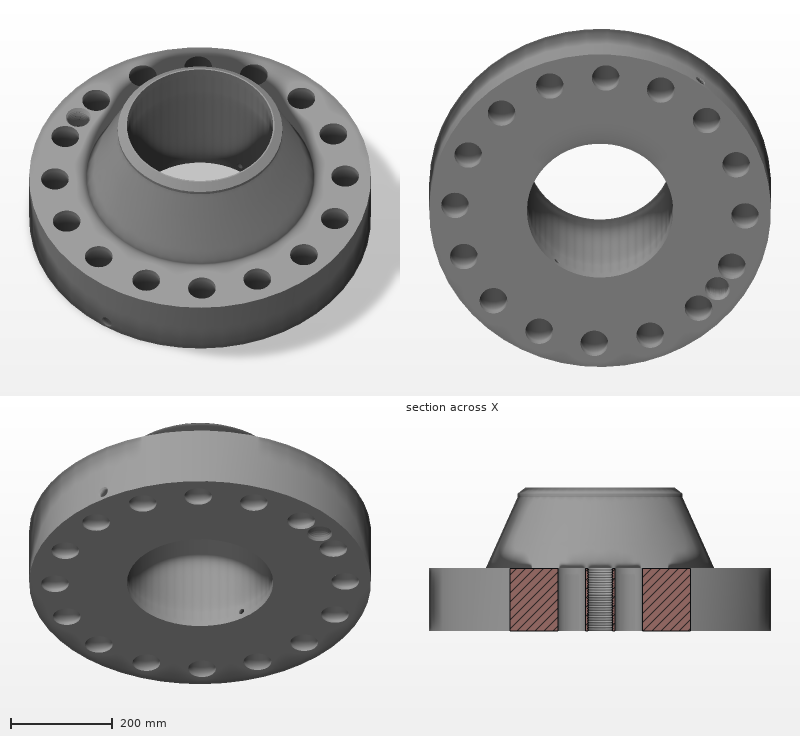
import cadquery as cq

flange_diameter = 673.0
flange_height = 124.0
bore_diameter = 288.0

overall_height = 283.0
neck_base_diameter = 449.5
neck_base_fillet = 3.0
weld_end_diameter = 324.5
weld_land_diameter = 293.5
weld_bevel_height = 12.0
weld_cylinder_height = 7.0

bolt_count = 16
bolt_circle_diameter = 571.5
bolt_hole_diameter = 54.5

jack_hole_minor_diameter = 45.0
jack_hole_major_diameter = 49.0
jack_hole_turns = 25

tap_height = 17.0
tap_minor_diameter = 20.0
tap_major_diameter = 23.0
tap_turns = 11
tap_thread_depth = 20.0
tap_drill_diameter = 12.0


def flange_with_neck():
    """Revolve the flange and its neck about Z, then round the foot of the neck."""
    bore_radius = bore_diameter / 2
    bevel_foot = overall_height - weld_bevel_height
    cone_top = bevel_foot - weld_cylinder_height
    body = (
        cq.Workplane("XZ")
        .moveTo(bore_radius, 0)
        .lineTo(flange_diameter / 2, 0)
        .lineTo(flange_diameter / 2, flange_height)
        .lineTo(neck_base_diameter / 2, flange_height)
        .lineTo(weld_end_diameter / 2, cone_top)
        .lineTo(weld_end_diameter / 2, bevel_foot)
        .lineTo(weld_land_diameter / 2, overall_height)
        .lineTo(bore_radius, overall_height)
        .close()
        .revolve(360, (0, 0, 0), (0, 1, 0))
    )
    reach = neck_base_diameter / 2 + neck_base_fillet
    margin = neck_base_fillet / 4
    foot_selector = cq.selectors.BoxSelector(
        (-reach, -reach, flange_height - margin),
        (reach, reach, flange_height + margin),
        boundingbox=True,
    )
    return body.edges(foot_selector).fillet(neck_base_fillet)


def bolt_holes():
    """Ring of plain through holes, half a spacing off the X axis."""
    half_spacing = 180 / bolt_count
    return (
        cq.Workplane("XY")
        .polarArray(bolt_circle_diameter / 2, half_spacing, 360, bolt_count)
        .circle(bolt_hole_diameter / 2)
        .extrude(flange_height)
    )


def cut_threaded_hole(body, mouth, minor_diameter, major_diameter, turns, depth):
    """Cut a hole into a body against the normal of its mouth plane, with V-shaped thread rings on its wall.

    A thread root lies at the mouth and another at the full depth.
    """
    pitch = depth / turns
    wall = [(major_diameter / 2, 0)]
    for turn in range(turns):
        wall.append((minor_diameter / 2, -(turn + 0.5) * pitch))
        wall.append((major_diameter / 2, -(turn + 1) * pitch))
    section_plane = cq.Plane(origin=mouth.origin, xDir=mouth.xDir, normal=-mouth.yDir)
    cutter = (
        cq.Workplane(section_plane)
        .polyline([(0, 0)] + wall + [(0, -depth)])
        .close()
        .revolve(360, (0, 0, 0), (0, 1, 0))
    )
    return body.cut(cutter)


result = flange_with_neck().cut(bolt_holes())

jack_mouth = cq.Plane(origin=(-bolt_circle_diameter / 2, 0, flange_height))
result = cut_threaded_hole(
    result, jack_mouth, jack_hole_minor_diameter, jack_hole_major_diameter, jack_hole_turns, flange_height
)

for side in (-1, 1):
    rim_point = (0, side * flange_diameter / 2, tap_height)
    tap_mouth = cq.Plane(origin=rim_point, xDir=(1, 0, 0), normal=(0, side, 0))
    result = cut_threaded_hole(
        result, tap_mouth, tap_minor_diameter, tap_major_diameter, tap_turns, tap_thread_depth
    )

tap_drill = (
    cq.Workplane("XZ", origin=(0, flange_diameter / 2, tap_height))
    .circle(tap_drill_diameter / 2)
    .extrude(flange_diameter)
)
result = result.cut(tap_drill)